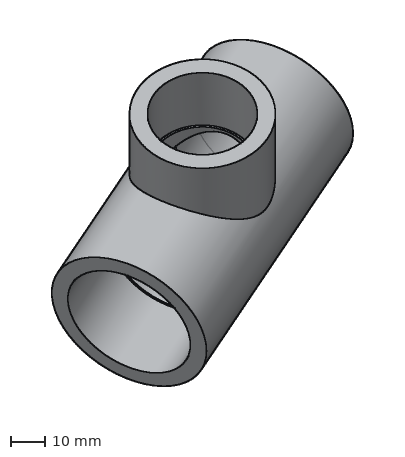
import cadquery as cq

run_length = 95.0
run_diameter = 50.5
run_socket_diameter = 40.0
run_bore_diameter = 38.6
run_socket_depth = 26.6

branch_height = 43.5
branch_diameter = 42.6
branch_socket_diameter = 32.0
branch_bore_diameter = 30.6
branch_socket_depth = 23.0


def run_cylinder(diameter, length):
    """Cylinder along Y, centred on the run."""
    return cq.Workplane("XZ").circle(diameter / 2).extrude(length / 2, both=True)


def branch_cylinder(diameter, bottom):
    """Cylinder along Z, from the given height up to the branch mouth."""
    return cq.Workplane("XY").workplane(offset=bottom).circle(diameter / 2).extrude(branch_height - bottom)


body = run_cylinder(run_diameter, run_length).union(branch_cylinder(branch_diameter, 0))

body = body.cut(run_cylinder(run_bore_diameter, run_length))
body = body.cut(branch_cylinder(branch_bore_diameter, 0))

for side in (-1, 1):
    socket_centre = side * (run_length - run_socket_depth) / 2
    socket = run_cylinder(run_socket_diameter, run_socket_depth)
    body = body.cut(socket.translate((0, socket_centre, 0)))
body = body.cut(branch_cylinder(branch_socket_diameter, branch_height - branch_socket_depth))

result = body